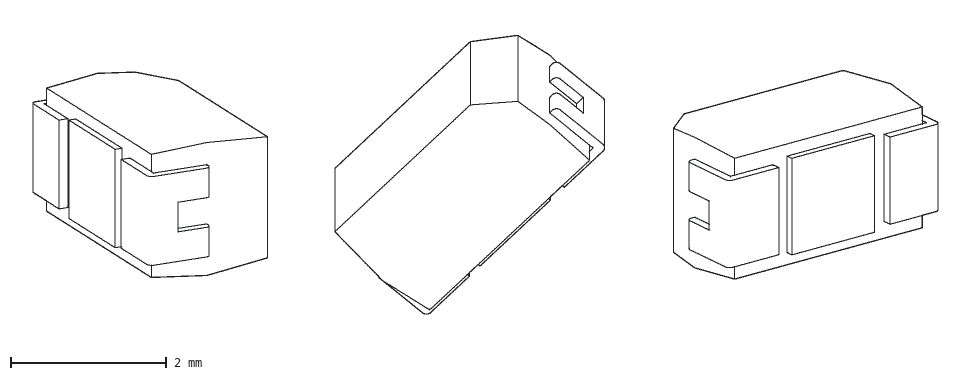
import cadquery as cq
import math

total_length = 3.4
total_depth = 1.8
case_height = 1.8
draft_angle = 5.0

terminal_thickness = 0.125
terminal_depth = 0.887
terminal_height = 1.2
foot_length = 0.805
bend_radius = 0.07
notch_height = terminal_height / 3
notch_depth = 0.473

case_length = total_length - 2 * terminal_thickness
case_front_depth = terminal_depth - terminal_thickness
case_back_depth = total_depth - terminal_depth
corner_cut_length = 0.515
corner_cut_depth = 0.398

pad_side = 1.33
pad_thickness = 0.1


def tapered_block(depth, direction):
    """Half of the case, narrowing from the parting plane in the +Y or -Y direction."""
    inset = depth * math.tan(math.radians(draft_angle))
    return (
        cq.Workplane("XZ")
        .rect(case_length, case_height)
        .workplane(offset=-direction * depth)
        .rect(case_length - 2 * inset, case_height - 2 * inset)
        .loft(ruled=True)
    )


def make_case():
    """Moulded case: two drafted halves with one back corner cut off along Z."""
    case = tapered_block(case_front_depth, -1).union(tapered_block(case_back_depth, 1))
    cut_side_inset = (case_back_depth - corner_cut_depth) * math.tan(math.radians(draft_angle))
    cut_side_x = -case_length / 2 + cut_side_inset
    cut_side_y = case_back_depth - corner_cut_depth
    cut_back_x = -case_length / 2 + corner_cut_length
    cutter = (
        cq.Workplane("XY")
        .moveTo(cut_side_x, cut_side_y)
        .lineTo(cut_back_x, case_back_depth)
        .lineTo(-total_length / 2, case_back_depth)
        .lineTo(-total_length / 2, cut_side_y)
        .close()
        .extrude(case_height / 2, both=True)
    )
    return case.cut(cutter)


def make_terminal(side):
    """L-shaped strip with rounded outer corners and a notch in its upright leg."""
    outer_x = side * total_length / 2
    inner_x = side * case_length / 2
    foot_end_x = outer_x - side * foot_length
    strip = (
        cq.Workplane("XY")
        .moveTo(outer_x, 0)
        .lineTo(outer_x, -terminal_depth)
        .lineTo(foot_end_x, -terminal_depth)
        .lineTo(foot_end_x, -case_front_depth)
        .lineTo(inner_x, -case_front_depth)
        .lineTo(inner_x, 0)
        .close()
        .extrude(terminal_height / 2, both=True)
    )
    outer_edges = ">X" if side > 0 else "<X"
    strip = strip.faces(outer_edges).edges("|Z").fillet(bend_radius)
    notch = cq.Workplane("XY").box(2 * terminal_thickness, 2 * notch_depth, notch_height)
    return strip.cut(notch.translate((outer_x, 0, 0)))


def make_pad():
    """Square plate on the centre of the mounting face."""
    pad_y = -case_front_depth - pad_thickness / 2
    return cq.Workplane("XY").box(pad_side, pad_thickness, pad_side).translate((0, pad_y, 0))


case = make_case()
terminals = [make_terminal(side) for side in (-1, 1)]
pad = make_pad()

result = cq.Compound.makeCompound([
    case.val(),
    *[terminal.val() for terminal in terminals],
    pad.val(),
])